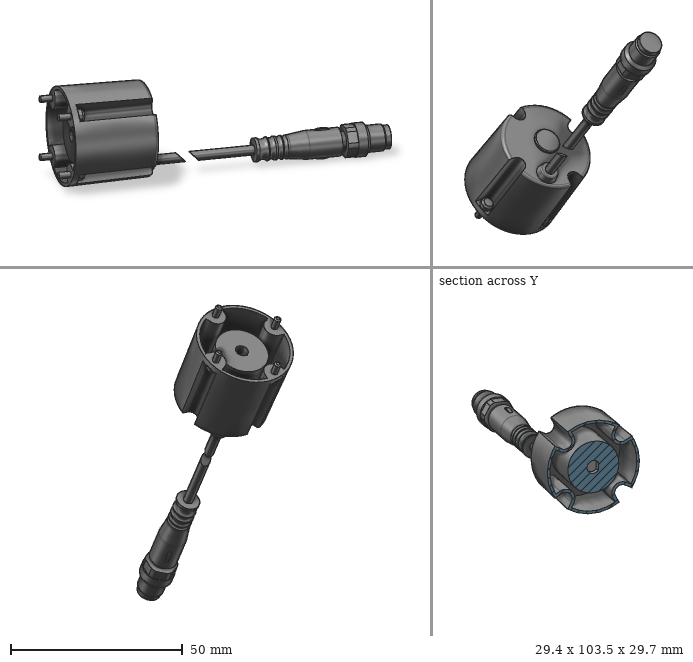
import cadquery as cq
import math

TOTAL_LENGTH = 103.5
PIN_LENGTH = 3.8
PLUG_TIP_Y = TOTAL_LENGTH - PIN_LENGTH

RIM_RADIUS = 29.4 / 2
BACK_RADIUS = 28.4 / 2
HOUSING_LENGTH = 25.6
BACK_FILLET = 0.9
RIM_WALL = 1.0
CAVITY_FLOOR_RADIUS = 13.4
FLOOR_THICKNESS = 1.2
FLOOR_Y = HOUSING_LENGTH - FLOOR_THICKNESS

POST_RADIUS = 16.0 / 2
POST_FRONT_Y = 3.1
HOLE_RADIUS = 3.8 / 2
HOLE_END_Y = HOUSING_LENGTH / 2
FLAT_OFFSET = 1.5
FLAT_LENGTH = 3.1
FLAT_START_Y = HOLE_END_Y - FLAT_LENGTH

SCREW_OFFSET = 8.9
SCREW_CIRCLE_RADIUS = SCREW_OFFSET * math.sqrt(2)
SCREW_ANGLES = [45, 135, 225, 315]
SLOT_RADIUS = 2.2
BOSS_WALL = 1.0
BOSS_RADIUS = SLOT_RADIUS + BOSS_WALL
SLOT_FLARE = 17.0
SLOT_START_Y = 2.1
HEAD_RADIUS = 3.8 / 2
HEAD_LENGTH = 2.0
HEAD_CHAMFER_LENGTH = 0.7
HEAD_CHAMFER_WIDTH = 0.5
PIN_RADIUS = 2.0 / 2
PIN_TIP_RADIUS = 1.0 / 2
PIN_TIP_LENGTH = 0.3

PAD_Z = 1.5
PAD_RADIUS = 8.0 / 2
PAD_HEIGHT = 0.7
PAD_CHAMFER = 0.3

OUTLET_END_Y = 27.8
OUTLET_BASE_RADIUS = 6.4 / 2
OUTLET_END_RADIUS = 5.4 / 2
OUTLET_FILLET = 0.4

CABLE_RADIUS = 2.9 / 2
STUB_CUT_Y = 36.4
PLUG_CUT_Y = 40.5

TIP_RADIUS = 7.0 / 2
THREAD_RADIUS = 8.0 / 2
THREAD_CHAMFER = 0.4
THREAD_END_Y = 98.0
COLLAR_RADIUS = 10.0 / 2
COLLAR_LOWEST_Z = -15.0
CABLE_Z = COLLAR_LOWEST_Z + COLLAR_RADIUS
COLLAR_CONE_END_Y = 93.0
COLLAR_END_Y = 92.1
NUT_END_Y = 89.2
NUT_START_Y = 86.1
NUT_RADIUS = 9.7 / 2
NUT_ACROSS_FLATS = 9.1
NUT_TURN = 30.0
NECK_RADIUS = 5.9 / 2
GRIP_END_Y = 84.6
GRIP_RADIUS = 8.5 / 2
GRIP_START_Y = 74.5

RIB_RADIUS = 7.0 / 2
RIBS = [(68.9, 68.3), (67.1, 66.8), (65.2, 64.6), (62.7, 62.4)]
GROOVE_DEPTHS = [0.3, 0.3, 0.4, 0.5]
SLEEVE_RIM_Y = 59.6
SLEEVE_START_Y = 58.7

MARK_Y = 79.5
MARK_LENGTH = 4.6
MARK_WIDTH = 1.1
MARK_HEIGHT = 0.4


def turned(outline):
    """Revolve a half outline of (radius, y) about the Y axis."""
    return outline.close().revolve(360, (0, 0, 0), (0, 1, 0))


def rod(radius, start_y, end_y):
    """Cylinder on the Y axis."""
    return cq.Workplane("XZ", origin=(0, start_y, 0)).circle(radius).extrude(start_y - end_y)


def turned_polygon(points):
    return turned(cq.Workplane("XY").polyline(points))


def flared_column(radius, start_y, end_y):
    """Column round a screw axis at +X, with side walls that flare open outwards."""
    flare = math.radians(SLOT_FLARE)
    tangent_x = SCREW_CIRCLE_RADIUS - radius * math.sin(flare)
    tangent_z = radius * math.cos(flare)
    outer_x = RIM_RADIUS + RIM_WALL
    outer_z = tangent_z + (outer_x - tangent_x) * math.tan(flare)
    return (
        cq.Workplane("XZ", origin=(0, start_y, 0))
        .moveTo(outer_x, -outer_z)
        .lineTo(tangent_x, -tangent_z)
        .threePointArc((SCREW_CIRCLE_RADIUS - radius, 0), (tangent_x, tangent_z))
        .lineTo(outer_x, outer_z)
        .close()
        .extrude(start_y - end_y)
    )


def screw():
    """Screw on the Y axis, with its head inside the slot and its pin beyond the rim."""
    head_end_y = SLOT_START_Y + HEAD_LENGTH
    return turned_polygon([
        (0, -PIN_LENGTH),
        (PIN_TIP_RADIUS, -PIN_LENGTH),
        (PIN_RADIUS, PIN_TIP_LENGTH - PIN_LENGTH),
        (PIN_RADIUS, SLOT_START_Y),
        (HEAD_RADIUS, SLOT_START_Y),
        (HEAD_RADIUS, head_end_y - HEAD_CHAMFER_LENGTH),
        (HEAD_RADIUS - HEAD_CHAMFER_WIDTH, head_end_y),
        (0, head_end_y),
    ])


def on_screw_circle(shape, angle):
    return shape.rotate((0, 0, 0), (0, 1, 0), angle)


def d_hole():
    """Blind hole whose deeper part has a flat on its +X side."""
    hole = rod(HOLE_RADIUS, POST_FRONT_Y, HOLE_END_Y)
    flat = cq.Workplane("XY").box(
        HOLE_RADIUS, FLAT_LENGTH, 2 * HOLE_RADIUS, centered=(False, False, True)
    )
    return hole.cut(flat.translate((FLAT_OFFSET, FLAT_START_Y, 0)))


def build_housing():
    envelope = turned_polygon([
        (0, 0), (RIM_RADIUS, 0), (BACK_RADIUS, HOUSING_LENGTH), (0, HOUSING_LENGTH),
    ]).faces(">Y").edges().fillet(BACK_FILLET)
    cavity = turned_polygon([
        (0, 0), (RIM_RADIUS - RIM_WALL, 0), (CAVITY_FLOOR_RADIUS, FLOOR_Y), (0, FLOOR_Y),
    ])
    cavity = cavity.cut(rod(POST_RADIUS, POST_FRONT_Y, FLOOR_Y))
    for angle in SCREW_ANGLES:
        cavity = cavity.cut(on_screw_circle(flared_column(BOSS_RADIUS, 0, FLOOR_Y), angle))
    housing = envelope.cut(cavity).cut(d_hole())

    for angle in SCREW_ANGLES:
        slot = flared_column(SLOT_RADIUS, SLOT_START_Y, HOUSING_LENGTH)
        housing = housing.cut(on_screw_circle(slot, angle))
        placed_screw = screw().translate((SCREW_CIRCLE_RADIUS, 0, 0))
        housing = housing.union(on_screw_circle(placed_screw, angle))

    pad = rod(PAD_RADIUS, HOUSING_LENGTH, HOUSING_LENGTH + PAD_HEIGHT).faces(">Y").chamfer(PAD_CHAMFER)
    outlet = turned_polygon([
        (0, FLOOR_Y),
        (OUTLET_BASE_RADIUS, FLOOR_Y),
        (OUTLET_BASE_RADIUS, HOUSING_LENGTH),
        (OUTLET_END_RADIUS, OUTLET_END_Y),
        (0, OUTLET_END_Y),
    ]).faces(">Y").edges().fillet(OUTLET_FILLET)
    return housing.union(pad.translate((0, 0, PAD_Z))).union(outlet.translate((0, 0, CABLE_Z)))


def cable_piece(low_y, high_y, low_slant, high_slant):
    """Cable length on the Y axis; a slant of one radius makes a 45 degree end."""
    r = CABLE_RADIUS
    side = (
        cq.Workplane("YZ", origin=(-r, 0, 0))
        .polyline([
            (low_y + low_slant, -r),
            (high_y + high_slant, -r),
            (high_y - high_slant, r),
            (low_y - low_slant, r),
        ])
        .close()
        .extrude(2 * r)
    )
    return rod(r, low_y - r, high_y + r).intersect(side)


def build_cable_stub():
    stub = cable_piece(OUTLET_END_Y, STUB_CUT_Y, 0, CABLE_RADIUS)
    return stub.translate((0, 0, CABLE_Z))


def plug_front():
    """Tip, threaded part and collar."""
    return turned_polygon([
        (0, NUT_END_Y),
        (COLLAR_RADIUS, NUT_END_Y),
        (COLLAR_RADIUS, COLLAR_END_Y),
        (THREAD_RADIUS, COLLAR_CONE_END_Y),
        (THREAD_RADIUS, THREAD_END_Y - THREAD_CHAMFER),
        (THREAD_RADIUS - THREAD_CHAMFER, THREAD_END_Y),
        (TIP_RADIUS, THREAD_END_Y),
        (TIP_RADIUS, PLUG_TIP_Y),
        (0, PLUG_TIP_Y),
    ])


def plug_nut():
    """Round nut with six wrench flats, one of them facing up."""
    hexagon = (
        cq.Workplane("XZ", origin=(0, NUT_START_Y, 0))
        .polygon(6, NUT_ACROSS_FLATS, circumscribed=True)
        .extrude(NUT_START_Y - NUT_END_Y)
        .rotate((0, 0, 0), (0, 1, 0), NUT_TURN)
    )
    return rod(NUT_RADIUS, NUT_START_Y, NUT_END_Y).intersect(hexagon)


def plug_sleeve():
    """Smooth grip that tapers into a sleeve of ribs and concave grooves."""
    outline = (
        cq.Workplane("XY")
        .moveTo(0, GRIP_END_Y)
        .lineTo(GRIP_RADIUS, GRIP_END_Y)
        .lineTo(GRIP_RADIUS, GRIP_START_Y)
        .lineTo(RIB_RADIUS, RIBS[0][0])
    )
    groove_ends = [upper for upper, lower in RIBS[1:]] + [SLEEVE_RIM_Y]
    for (upper, lower), groove_end, depth in zip(RIBS, groove_ends, GROOVE_DEPTHS):
        outline = (
            outline
            .lineTo(RIB_RADIUS, lower)
            .threePointArc((RIB_RADIUS - depth, (lower + groove_end) / 2), (RIB_RADIUS, groove_end))
        )
    outline = (
        outline
        .lineTo(RIB_RADIUS, SLEEVE_START_Y)
        .lineTo(0, SLEEVE_START_Y)
    )
    return turned(outline)


def grip_mark():
    """Long raised mark on top of the grip, rounded along its length."""
    crown_z = GRIP_RADIUS + MARK_HEIGHT
    crown_radius = ((MARK_LENGTH / 2) ** 2 + MARK_HEIGHT ** 2) / (2 * MARK_HEIGHT)
    pad = cq.Workplane("XY").center(0, MARK_Y).slot2D(MARK_LENGTH, MARK_WIDTH, 90).extrude(crown_z)
    crown = (
        cq.Workplane("YZ", origin=(-MARK_WIDTH, 0, 0))
        .center(MARK_Y, crown_z - crown_radius)
        .circle(crown_radius)
        .extrude(2 * MARK_WIDTH)
    )
    return pad.intersect(crown)


def build_plug():
    plug = plug_sleeve().union(rod(NECK_RADIUS, GRIP_END_Y, NUT_START_Y))
    plug = plug.union(plug_nut()).union(plug_front())
    plug = plug.union(cable_piece(PLUG_CUT_Y, SLEEVE_START_Y, CABLE_RADIUS, 0))
    for angle in (0, 180):
        plug = plug.union(grip_mark().rotate((0, 0, 0), (0, 1, 0), angle))
    return plug.translate((0, 0, CABLE_Z))


housing = build_housing()
cable_stub = build_cable_stub()
plug = build_plug()

result = cq.Compound.makeCompound([housing.val(), cable_stub.val(), plug.val()])